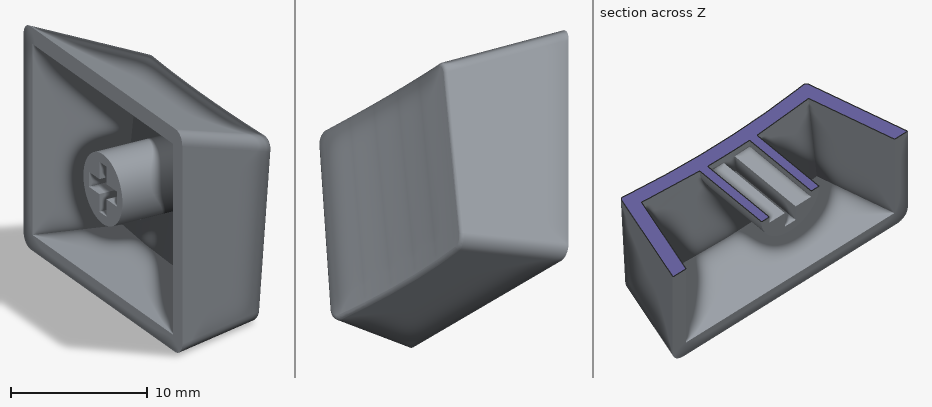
import cadquery as cq
import math

width = 22.8
height = 18.0
side_draft = 15.4
back_draft = 21.5
corner_radius = 1.0
blank_depth = 11.4

dish_radius = 77.52
dish_tilt = 5.4
dish_floor_y = 8.15
rim_radius = 0.3

side_wall = 1.3
back_wall = 1.32
front_wall = 1.28
roof_thickness = 1.28

stem_diameter = 5.6
cross_span = 4.04
x_bar_thickness = 1.2
z_bar_thickness = 1.05

side_slope = math.tan(math.radians(side_draft))
back_slope = math.tan(math.radians(back_draft))


def tapered_block(half_width, bottom, top):
    """Block with its large end at Y = 0, drafted on both sides and on the +Z wall."""
    narrow_half_width = half_width - blank_depth * side_slope
    narrow_top = top - blank_depth * back_slope
    plan = (
        cq.Workplane("XY", origin=(0, 0, bottom))
        .polyline([
            (-half_width, 0),
            (half_width, 0),
            (narrow_half_width, blank_depth),
            (-narrow_half_width, blank_depth),
        ])
        .close()
        .extrude(top - bottom)
    )
    profile = (
        cq.Workplane("YZ")
        .polyline([(0, bottom), (blank_depth, bottom), (blank_depth, narrow_top), (0, top)])
        .close()
        .extrude(half_width, both=True)
    )
    return plan.intersect(profile)


def dish_cutter(lowest_y):
    """Tilted cylinder whose lowest line passes through Y = lowest_y at Z = 0."""
    return (
        cq.Workplane("XY")
        .center(0, dish_radius)
        .circle(dish_radius)
        .extrude(height, both=True)
        .rotate((0, 0, 0), (1, 0, 0), -dish_tilt)
        .translate((0, lowest_y, 0))
    )


def outer_body():
    """Solid cap with rounded corners, a dished top and a softened rim."""
    body = tapered_block(width / 2, -height / 2, height / 2)
    body = body.edges("not(|X or |Z)").fillet(corner_radius)
    body = body.cut(dish_cutter(dish_floor_y))
    return body.faces(">Y").edges().fillet(rim_radius)


def inner_space():
    """Hollow of the cap, its roof following the dish."""
    space = tapered_block(width / 2 - side_wall, -height / 2 + front_wall, height / 2 - back_wall)
    return space.cut(dish_cutter(dish_floor_y - roof_thickness))


def stem_with_socket():
    """Round stem starting at Y = 0, with a cross socket running its full length."""
    base = cq.Workplane("XZ")
    stem = base.circle(stem_diameter / 2).extrude(-blank_depth)
    x_bar = base.rect(cross_span, x_bar_thickness).extrude(-blank_depth)
    z_bar = base.rect(z_bar_thickness, cross_span).extrude(-blank_depth)
    return stem.cut(x_bar).cut(z_bar)


result = outer_body().cut(inner_space().cut(stem_with_socket()))